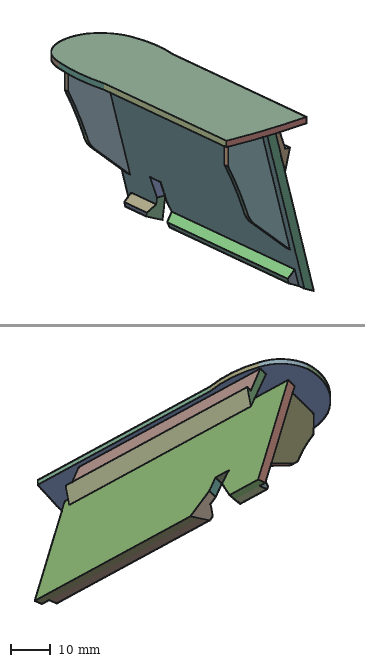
import cadquery as cq
import math


cover_thickness = 1.75
cover_width = 25.7
cover_tip_x = 79.35
cover_crown_y = 11.1
cover_front_end_x = 78.9
cover_back_end_x = 78.8
front_bulge = 0.7
back_bulge = 0.55
front_swell_start_x = 11.5
front_swell_end_x = 29.6
front_swell_peak_x = 20.6
back_swell_end_x = 25.0
back_swell_peak_x = 18.65
nose_back_joint = (10.1, 25.1)
nose_back_middle = (4.1, 22.05)
nose_tip_joint = (0.7, 17.4)
nose_tip_middle = (1.1, 7.7)
nose_front_joint = (5.55, 2.15)
nose_front_middle = (8.3, 0.8)

lean_angle = 15.0
panel_left = 6.8
panel_right = 76.7
panel_front_y = 14.45
panel_depth = 2.7
panel_bottom_z = -47.0
panel_front_bottom_z = -45.55

rib_thickness = 1.5
rib_left = 8.65
rib_right = 74.5
rib_front_y = 4.05
rib_corner_z = -7.6
rib_bottom_z = -35.0
rib_hollow_middle = (7.3, -14.45)
rib_elbow_start = (10.0, -21.2)
rib_elbow_middle = (11.0, -23.6)
rib_elbow_end = (12.9, -25.6)

lip_top_z = -40.7
lip_nose_y = 23.1
lip_nose_top_z = -42.7
lip_nose_bottom_z = -44.0

notch_top_z = -32.8
notch_bend_z = -38.4
notch_top_x = (18.9, 23.0)
notch_bend_x = (19.8, 23.8)
notch_bottom_x = (15.8, 28.0)

clip_left = 10.1
clip_right = 66.9
clip_front_y = 22.05
clip_back_y = 24.4
clip_tip_y = 28.4
clip_tip_z = -17.1
barb_y = 29.9
barb_z = -11.35


def panel_front_at(z):
    """Y of the panel's front face at height z."""
    return panel_front_y - z * math.tan(math.radians(lean_angle))


def extrude_along_x(profile, x_start, x_end):
    """Move a YZ profile to x_start and extrude it to x_end."""
    return profile.extrude(x_end - x_start).translate((x_start, 0, 0))


def make_cover():
    return (
        cq.Workplane("XY")
        .moveTo(cover_front_end_x, 0)
        .threePointArc((cover_tip_x, cover_crown_y), (cover_back_end_x, cover_width))
        .lineTo(back_swell_end_x, cover_width)
        .threePointArc((back_swell_peak_x, cover_width + back_bulge), nose_back_joint)
        .threePointArc(nose_back_middle, nose_tip_joint)
        .threePointArc(nose_tip_middle, nose_front_joint)
        .threePointArc(nose_front_middle, (front_swell_start_x, 0))
        .threePointArc((front_swell_peak_x, -front_bulge), (front_swell_end_x, 0))
        .close()
        .extrude(cover_thickness)
    )


def make_panel():
    sheet_profile = cq.Workplane("YZ").polyline([
        (panel_front_y, 0),
        (panel_front_y + panel_depth, 0),
        (panel_front_at(panel_bottom_z) + panel_depth, panel_bottom_z),
        (panel_front_at(panel_front_bottom_z), panel_front_bottom_z),
    ]).close()
    sheet = extrude_along_x(sheet_profile, panel_left, panel_right)

    nose_bottom_y = lip_nose_y + panel_front_at(lip_nose_bottom_z) - panel_front_at(lip_nose_top_z)
    lip_profile = cq.Workplane("YZ").polyline([
        (panel_front_at(lip_top_z), lip_top_z),
        (lip_nose_y, lip_nose_top_z),
        (nose_bottom_y, lip_nose_bottom_z),
        (panel_front_at(panel_front_bottom_z), panel_front_bottom_z),
    ]).close()
    lip = extrude_along_x(lip_profile, rib_left, rib_right)
    return sheet.union(lip).cut(make_notch()).clean()


def make_notch():
    notch_length = 79.35
    return (
        cq.Workplane("XZ")
        .polyline([
            (notch_top_x[0], notch_top_z),
            (notch_top_x[1], notch_top_z),
            (notch_bend_x[1], notch_bend_z),
            (notch_bottom_x[1], panel_bottom_z),
            (notch_bottom_x[0], panel_bottom_z),
            (notch_bend_x[0], notch_bend_z),
        ])
        .close()
        .extrude(-notch_length)
    )


def make_rib(x_start):
    profile = (
        cq.Workplane("YZ")
        .moveTo(panel_front_y, 0)
        .lineTo(rib_front_y, 0)
        .lineTo(rib_front_y, rib_corner_z)
        .threePointArc(rib_hollow_middle, rib_elbow_start)
        .threePointArc(rib_elbow_middle, rib_elbow_end)
        .lineTo(panel_front_at(rib_bottom_z), rib_bottom_z)
        .close()
    )
    return extrude_along_x(profile, x_start, x_start + rib_thickness)


def make_clip():
    profile = cq.Workplane("YZ").polyline([
        (clip_front_y, 0),
        (clip_back_y, 0),
        (clip_tip_y, barb_z),
        (barb_y, barb_z),
        (clip_tip_y, clip_tip_z),
    ]).close()
    return extrude_along_x(profile, clip_left, clip_right)


cover = make_cover()
panel = make_panel()
ribs = [make_rib(x_start) for x_start in (rib_left, rib_right - rib_thickness)]
clip = make_clip()

result = cq.Compound.makeCompound([
    cover.val(),
    panel.val(),
    *[rib.val() for rib in ribs],
    clip.val(),
])